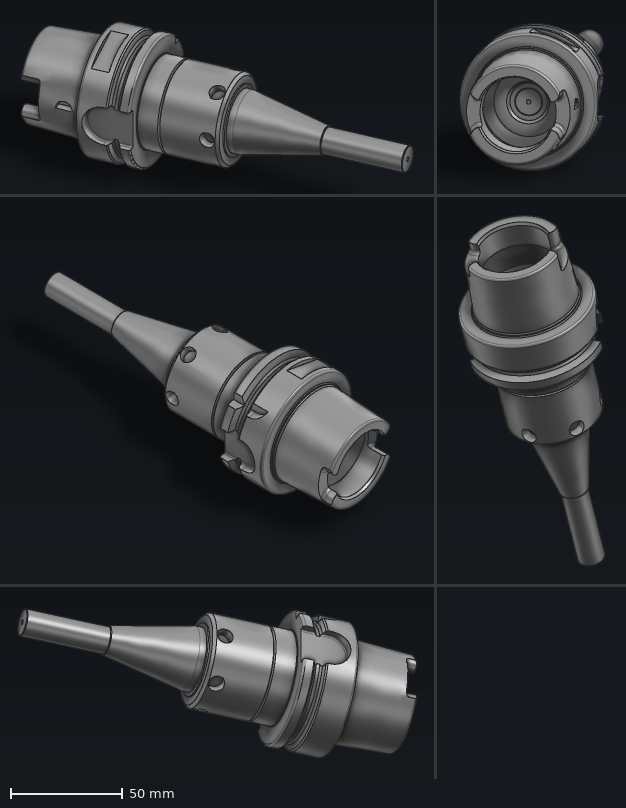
import cadquery as cq
import math

overall_length = 182.0

cut_clearance = 1.8
match_tolerance = 0.02

taper_length = 30.2
taper_mouth_radius = 23.0
taper_base_radius = 24.4
relief_length = 0.7
relief_radius = 25.0
relief_corner_chamfer = 0.5
mouth_round = 1.1

flange_start = 32.0
flange_end = 58.0
flange_radius = 31.5
flange_round = 1.1
groove_start = 46.5
groove_end = 53.1
groove_edge_chamfer = 0.7
groove_wall_foot_start = 47.9
groove_wall_foot_end = 51.7
groove_floor_chamfer_length = 1.1
groove_floor_chamfer_depth = 1.0
groove_floor_radius = 27.5

body_radius = 22.2
body_root_chamfer = 0.4
joint_position = 69.0
joint_chamfer_length = 0.5
joint_chamfer_depth = 1.1

bore_radius = 17.02
bore_mouth_chamfer = 0.7
bore_mouth_chamfer_length = 1.5
bore_depth = 12.4
clamp_groove_radius = 20.0
clamp_groove_start = 14.0
clamp_groove_end = 26.4
cavity_floor_radius = 15.7
cavity_depth = 32.0
sleeve_hole_radius = 8.5
sleeve_hole_chamfer = 1.3

notch_width = 12.5
front_notch_depth = 10.0
back_notch_depth = 5.5
notch_corner_radius = 1.6
notch_edge_round = 4.4
notch_flare_end = 20.4

access_hole_position = 23.0
access_hole_diameter = 8.4

slot_floor_distance = 26.4
slot_center = 45.0
front_slot_width = 19.5
back_slot_width = 18.0
slot_floor_round = 0.7

orientation_wall = 20.2
orientation_floor = 19.5
orientation_runout_center = 45.1
orientation_runout_radius = 8.0

label_start = 35.3
label_length = 8.5
label_width = 23.0
label_tilt = 21.4

nut_end = 98.3
nut_chamfer = 1.5
nose_length = 0.7
nose_radius = 17.02
pin_hole_position = 92.8
pin_hole_diameter = 7.5
pin_hole_depth = 5.1
pin_hole_count = 6

neck_radius = 15.02
neck_end = 102.3
sleeve_tip = 142.0
sleeve_tip_radius = 7.0
sleeve_tip_chamfer = 0.4

rod_radius = 6.4
rod_chamfer = 0.4
coolant_hole_radius = 1.0

sleeve_start = cavity_depth + sleeve_hole_chamfer


def turned(points):
    """Solid of revolution about X from (x, radius) points."""
    return cq.Workplane("XY").polyline(points).close().revolve(360, (0, 0, 0), (1, 0, 0))


def cylinder_x(start, end, radius):
    return cq.Workplane("YZ", origin=(start, 0, 0)).circle(radius).extrude(end - start)


def is_rim(edge, position, radius):
    """True for the circular edge of this radius that lies at this place along X."""
    same_position = math.isclose(edge.Center().x, position, abs_tol=match_tolerance)
    same_radius = math.isclose(edge.radius(), radius, abs_tol=match_tolerance)
    return same_position and same_radius


def turned_shank():
    """Taper, flange with its V groove, and rear body, rounded at the mouth and flange rims."""
    outline = [
        (0, 0),
        (0, taper_mouth_radius),
        (taper_length, taper_base_radius),
        (taper_length + relief_length, relief_radius),
        (flange_start - relief_corner_chamfer, relief_radius),
        (flange_start, relief_radius + relief_corner_chamfer),
        (flange_start, flange_radius),
        (groove_start, flange_radius),
        (groove_start + groove_edge_chamfer, flange_radius - groove_edge_chamfer),
        (groove_wall_foot_start, groove_floor_radius + groove_floor_chamfer_depth),
        (groove_wall_foot_start + groove_floor_chamfer_length, groove_floor_radius),
        (groove_wall_foot_end - groove_floor_chamfer_length, groove_floor_radius),
        (groove_wall_foot_end, groove_floor_radius + groove_floor_chamfer_depth),
        (groove_end, flange_radius),
        (flange_end, flange_radius),
        (flange_end, body_radius + body_root_chamfer),
        (flange_end + body_root_chamfer, body_radius),
        (joint_position - joint_chamfer_length, body_radius),
        (joint_position, body_radius - joint_chamfer_depth),
        (joint_position, 0),
    ]
    shank = turned(outline)
    for rim_position, rim_radius, rounding in (
        (0, taper_mouth_radius, mouth_round),
        (flange_start, flange_radius, flange_round),
        (flange_end, flange_radius, flange_round),
    ):
        rim = [edge for edge in shank.edges("%CIRCLE").vals() if is_rim(edge, rim_position, rim_radius)]
        shank = shank.newObject(rim).fillet(rounding)
    return shank


def shank_cavity():
    return turned(
        [
            (0, 0),
            (0, bore_radius + bore_mouth_chamfer),
            (bore_mouth_chamfer_length, bore_radius),
            (bore_depth, bore_radius),
            (clamp_groove_start, clamp_groove_radius),
            (clamp_groove_end, clamp_groove_radius),
            (cavity_depth, cavity_floor_radius),
            (cavity_depth, sleeve_hole_radius + sleeve_hole_chamfer),
            (sleeve_start, sleeve_hole_radius),
            (joint_position, sleeve_hole_radius),
            (joint_position, 0),
        ]
    )


def mouth_notch(side, depth):
    """Cutter for a notch on the +Y (side = 1) or -Y (side = -1) half of the mouth."""
    reach = taper_base_radius + cut_clearance
    half_width = notch_width / 2
    flared_half_width = half_width + notch_edge_round
    arc_start = notch_flare_end - notch_edge_round
    arc_middle_y = arc_start + notch_edge_round * math.sqrt(0.5)
    arc_middle_z = flared_half_width - notch_edge_round * math.sqrt(0.5)
    half_cutter = (
        cq.Workplane("YZ")
        .lineTo(0, half_width)
        .lineTo(arc_start, half_width)
        .threePointArc((arc_middle_y, arc_middle_z), (notch_flare_end, flared_half_width))
        .lineTo(reach, flared_half_width)
        .lineTo(reach, 0)
        .close()
        .extrude(depth)
    )
    cutter = half_cutter.union(half_cutter.mirror("XY"))
    cutter = cutter.faces(">X").edges("not |Z").fillet(notch_corner_radius)
    if side < 0:
        cutter = cutter.mirror("XZ")
    return cutter


def access_hole():
    """Half-round cutter, flat along its lower side, through the -Y wall of the shank."""
    radius = access_hole_diameter / 2
    return (
        cq.Workplane("XZ", origin=(access_hole_position, 0, 0))
        .moveTo(-radius, 0)
        .threePointArc((0, radius), (radius, 0))
        .close()
        .extrude(flange_radius)
    )


def driving_slot(side, width):
    """Cutter for a round-ended flange slot that is open at the rear."""
    depth = flange_radius - slot_floor_distance + cut_clearance
    slot_rear = flange_end + cut_clearance
    half_width = width / 2
    cutter = (
        cq.Workplane("XZ", origin=(0, -slot_floor_distance, 0))
        .moveTo(slot_rear, half_width)
        .lineTo(slot_center, half_width)
        .threePointArc((slot_center - half_width, 0), (slot_center, -half_width))
        .lineTo(slot_rear, -half_width)
        .close()
        .extrude(depth)
    )
    cutter = cutter.faces(">Y").edges().fillet(slot_floor_round)
    if side > 0:
        cutter = cutter.mirror("XZ")
    return cutter


def orientation_notch():
    """Cutter for the step on the +Y +Z part of the rim, run out by an arc at the front."""
    r = orientation_runout_radius
    arc_middle = r * math.sqrt(0.5)
    center_z = orientation_floor + r
    return (
        cq.Workplane("XZ", origin=(0, orientation_wall, 0))
        .moveTo(flange_end, orientation_floor)
        .lineTo(orientation_runout_center, orientation_floor)
        .threePointArc(
            (orientation_runout_center - arc_middle, center_z - arc_middle),
            (orientation_runout_center - r, center_z),
        )
        .lineTo(flange_end, center_z)
        .close()
        .extrude(-flange_radius)
    )


def label_flat():
    floor_distance = math.sqrt(flange_radius**2 - (label_width / 2) ** 2)
    return (
        cq.Workplane("XY")
        .box(label_length, label_width, flange_radius, centered=(False, True, False))
        .translate((label_start, 0, floor_distance))
        .rotate((0, 0, 0), (1, 0, 0), label_tilt)
    )


def make_holder():
    holder = turned_shank()
    holder = holder.cut(shank_cavity())
    for side, depth in ((-1, front_notch_depth), (1, back_notch_depth)):
        holder = holder.cut(mouth_notch(side, depth))
    holder = holder.cut(access_hole())
    holder = holder.cut(driving_slot(-1, front_slot_width))
    holder = holder.cut(driving_slot(1, back_slot_width))
    holder = holder.cut(orientation_notch())
    return holder.cut(label_flat())


def make_nut():
    nut = turned(
        [
            (joint_position, neck_radius),
            (joint_position, body_radius - joint_chamfer_depth),
            (joint_position + joint_chamfer_length, body_radius),
            (nut_end - nut_chamfer, body_radius),
            (nut_end, body_radius - nut_chamfer),
            (nut_end, nose_radius),
            (nut_end + nose_length, nose_radius),
            (nut_end + nose_length, neck_radius),
        ]
    )
    pin_hole = (
        cq.Workplane("XZ", origin=(pin_hole_position, pin_hole_depth - body_radius, 0))
        .circle(pin_hole_diameter / 2)
        .extrude(body_radius)
    )
    for index in range(pin_hole_count):
        nut = nut.cut(pin_hole.rotate((0, 0, 0), (1, 0, 0), index * 360 / pin_hole_count))
    return nut


def make_sleeve():
    return turned(
        [
            (sleeve_start, rod_radius),
            (sleeve_start, sleeve_hole_radius),
            (joint_position, sleeve_hole_radius),
            (joint_position, neck_radius),
            (neck_end, neck_radius),
            (sleeve_tip - sleeve_tip_chamfer, sleeve_tip_radius),
            (sleeve_tip, sleeve_tip_radius - sleeve_tip_chamfer),
            (sleeve_tip, rod_radius),
        ]
    )


def make_rod():
    rod = cylinder_x(sleeve_start, overall_length, rod_radius)
    rod = rod.faces("<X or >X").edges().chamfer(rod_chamfer)
    return rod.cut(cylinder_x(sleeve_start, overall_length, coolant_hole_radius))


holder = make_holder()
nut = make_nut()
sleeve = make_sleeve()
rod = make_rod()

result = cq.Compound.makeCompound([holder.val(), nut.val(), sleeve.val(), rod.val()])